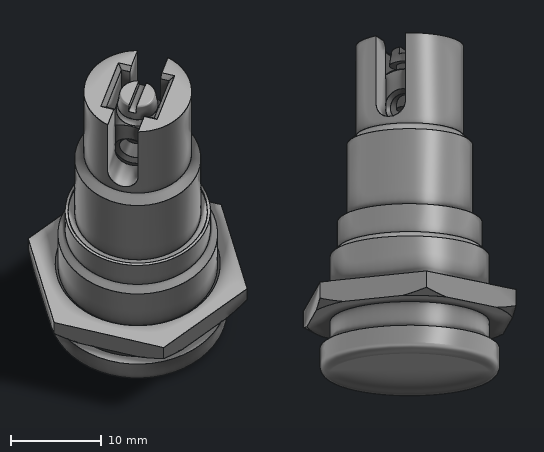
import cadquery as cq
import math

total_height = 37.7

flange_radius = 10.0
flange_height = 3.0
flange_fillet = 1.0

barrel_radius = 8.85
barrel_shoulder_z = 13.57

collar_radius = 8.05
collar_base_z = 14.3
collar_top_z = 17.5
recess_radius = 7.73
recess_depth = 0.25

shaft_radius = 7.0
shaft_shoulder_z = 26.4

tower_radius = 6.0
tower_base_z = 27.35

nut_sides = 6
nut_flats = 22.0
nut_base_z = 6.05
nut_thickness = 2.53
nut_chamfer_radius = 11.57
nut_chamfer_angle = 30.0
nut_bore_chamfer = 0.3

pocket_length_x = 5.55
pocket_length_y = 5.73
pocket_draft = 0.9
pocket_chamfer = 0.5

slot_width = 3.5
slot_bottom_z = 28.2

post_side = 4.95
post_top_z = 34.55
post_crown_radius = 2.38
post_crown_angle = 35.0

wire_hole_radius = 1.5
wire_hole_z = 30.27
wire_hole_chamfer = 0.45

screw_shank_radius = 1.47
screw_tip_z = 30.05
screw_tip_radius = 0.5
screw_tip_height = 0.45
screw_head_base_radius = 2.25
screw_head_top_radius = 2.0
screw_head_base_z = 35.48
screw_head_top_z = 37.3
screw_head_fillet = 0.3
driver_slot_width = 0.85
driver_slot_depth = 0.85


def revolve_profile(points):
    """Turn a closed (radius, z) outline around the Z axis."""
    return cq.Workplane("XZ").polyline(points).close().revolve(360, (0, 0, 0), (0, 1, 0))


def make_body():
    """Stepped turned body from the flange up to the terminal tower."""
    body = revolve_profile([
        (0, 0),
        (flange_radius, 0),
        (flange_radius, flange_height),
        (barrel_radius, flange_height),
        (barrel_radius, barrel_shoulder_z),
        (collar_radius, collar_base_z),
        (collar_radius, collar_top_z),
        (recess_radius, collar_top_z),
        (recess_radius, collar_top_z - recess_depth),
        (shaft_radius, collar_top_z - recess_depth),
        (shaft_radius, shaft_shoulder_z),
        (tower_radius, tower_base_z),
        (tower_radius, total_height),
        (0, total_height),
    ])
    return body.faces("<Z").edges().fillet(flange_fillet)


def make_nut():
    """Hexagon nut with corners along X, chamfered on its underside."""
    corner_radius = nut_flats / 2 / math.cos(math.pi / nut_sides)
    corner_rise = (corner_radius - nut_chamfer_radius) * math.tan(math.radians(nut_chamfer_angle))
    nut_top_z = nut_base_z + nut_thickness
    hexagon = (
        cq.Workplane("XY", origin=(0, 0, nut_base_z))
        .polygon(nut_sides, 2 * corner_radius)
        .extrude(nut_thickness)
    )
    envelope = revolve_profile([
        (barrel_radius, nut_base_z),
        (nut_chamfer_radius, nut_base_z),
        (corner_radius, nut_base_z + corner_rise),
        (corner_radius, nut_top_z),
        (barrel_radius + nut_bore_chamfer, nut_top_z),
        (barrel_radius, nut_top_z - nut_bore_chamfer),
    ])
    return hexagon.intersect(envelope)


def make_pocket():
    """Drafted pocket with a chamfered mouth, sunk to the foot of the tower."""
    neck_z = total_height - pocket_chamfer
    pocket = (
        cq.Workplane("XY", origin=(0, 0, neck_z))
        .rect(pocket_length_x, pocket_length_y)
        .extrude(tower_base_z - neck_z, taper=pocket_draft)
    )
    mouth = (
        cq.Workplane("XY", origin=(0, 0, neck_z))
        .rect(pocket_length_x, pocket_length_y)
        .workplane(offset=pocket_chamfer)
        .rect(pocket_length_x + 2 * pocket_chamfer, pocket_length_y + 2 * pocket_chamfer)
        .loft(ruled=True)
    )
    return pocket.union(mouth)


def make_wire_slot():
    """Round-bottomed slot that crosses the tower along Y."""
    half_width = slot_width / 2
    round_z = slot_bottom_z + half_width
    return (
        cq.Workplane("XZ")
        .moveTo(-half_width, total_height)
        .lineTo(-half_width, round_z)
        .threePointArc((0, slot_bottom_z), (half_width, round_z))
        .lineTo(half_width, total_height)
        .close()
        .extrude(tower_radius, both=True)
    )


def make_post():
    """Square terminal post with a coned top and a chamfered wire hole along Y."""
    corner_radius = post_side / 2 * math.sqrt(2)
    crown_drop = (corner_radius - post_crown_radius) * math.tan(math.radians(post_crown_angle))
    block = (
        cq.Workplane("XY", origin=(0, 0, tower_base_z))
        .rect(post_side, post_side)
        .extrude(post_top_z - tower_base_z)
    )
    crown = revolve_profile([
        (0, tower_base_z),
        (corner_radius, tower_base_z),
        (corner_radius, post_top_z - crown_drop),
        (post_crown_radius, post_top_z),
        (0, post_top_z),
    ])
    drilled = block.intersect(crown).cut(
        cq.Workplane("XZ")
        .center(0, wire_hole_z)
        .circle(wire_hole_radius)
        .extrude(post_side, both=True)
    )
    return drilled.edges("%CIRCLE").edges("<Y or >Y").chamfer(wire_hole_chamfer)


def make_screw():
    """Slotted screw with a drafted head standing in the post, tip inside the wire hole."""
    shank = revolve_profile([
        (0, screw_tip_z),
        (screw_tip_radius, screw_tip_z),
        (screw_shank_radius, screw_tip_z + screw_tip_height),
        (screw_shank_radius, screw_head_base_z),
        (0, screw_head_base_z),
    ])
    head = revolve_profile([
        (0, screw_head_base_z),
        (screw_head_base_radius, screw_head_base_z),
        (screw_head_top_radius, screw_head_top_z),
        (0, screw_head_top_z),
    ]).faces(">Z").edges().fillet(screw_head_fillet)
    driver_slot = (
        cq.Workplane("XY", origin=(0, 0, screw_head_top_z - driver_slot_depth))
        .rect(driver_slot_width, 2 * screw_head_base_radius)
        .extrude(driver_slot_depth)
    )
    return shank.union(head.cut(driver_slot))


housing = make_body().union(make_nut()).cut(make_pocket()).cut(make_wire_slot())
result = housing.union(make_post()).union(make_screw())